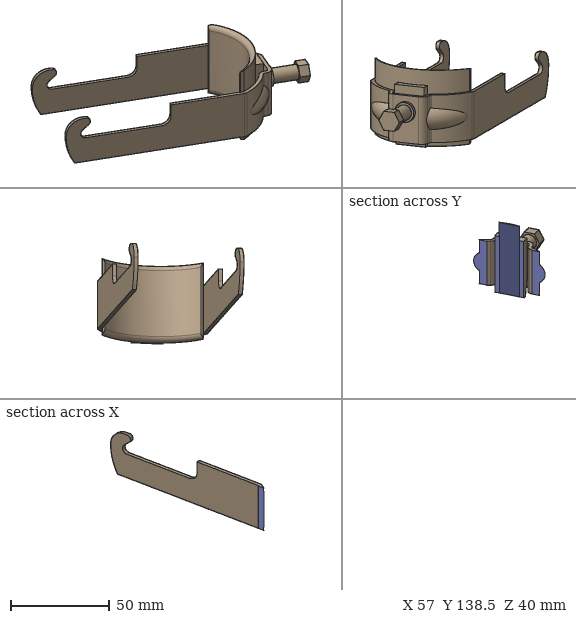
import cadquery as cq
import math


strap_width = 57.0
strap_height = 24.9
sheet = 2.1
strap_back = 117.0
mid_height = strap_height / 2
back_arc_radius = 32.4
back_arc_center = 81.0
step_half_width = 10.2
step_angle = 10
step_bend = 3.7
neck_bend = 0.8
leg_bend = 3.3

notch_start = 56.2
notch_floor = 13.7
notch_fillet = 5.0
hook_radius = 9.0
heel_radius = 29.9
nose_radius = 2.1
nose_center = 11.0
slot_end = 7.9
slot_radius = 2.6

rib_radius = 29.1
rib_back = 116.8
rib_section_radius = 7.2

collar_diameter = 10.5
collar_length = 2.1

screw_z = 16.5
screw_diameter = 8.0
head_sides = 6
head_flats = 10.0
head_length = 5.5
screw_top = 138.5

saddle_width = 52.4
saddle_height = 40.0
saddle_bottom = -3.0
saddle_radius = 32.7
saddle_inner_radius = 32.0
saddle_thickness = 3.0
saddle_back = 109.1
saddle_front = 94.2
rim_fillet = 2.8

block_width = 16.3
block_top = 29.0
block_back = 112.6
block_foot_back = 110.5
block_slope_start = 8.3


def strap_fill(inset):
    """Solid that fills the strap outline moved inward by `inset`, with rounded bends."""
    half_width = strap_width / 2 - inset
    back = strap_back - inset
    radius = back_arc_radius - inset
    tilt = math.radians(step_angle)
    flank_x = step_half_width - inset / math.cos(tilt)
    flank_top = flank_x + inset * math.tan(tilt)
    offset = flank_top + (back - back_arc_center) * math.tan(tilt)
    along = offset * math.sin(tilt) + math.sqrt(radius**2 - (offset * math.cos(tilt)) ** 2)
    neck_x = offset - along * math.sin(tilt)
    neck_y = back_arc_center + along * math.cos(tilt)
    shoulder_y = back_arc_center + math.sqrt(radius**2 - half_width**2)
    middle_angle = (math.atan2(neck_y - back_arc_center, neck_x)
                    + math.atan2(shoulder_y - back_arc_center, half_width)) / 2
    middle_x = radius * math.cos(middle_angle)
    middle_y = back_arc_center + radius * math.sin(middle_angle)
    fill = (
        cq.Workplane("XY")
        .moveTo(-half_width, 0)
        .lineTo(half_width, 0)
        .lineTo(half_width, shoulder_y)
        .threePointArc((middle_x, middle_y), (neck_x, neck_y))
        .lineTo(flank_top, back)
        .lineTo(-flank_top, back)
        .lineTo(-neck_x, neck_y)
        .threePointArc((-middle_x, middle_y), (-half_width, shoulder_y))
        .close()
        .extrude(strap_height)
    )
    bends = (
        (flank_top, back, step_bend - inset),
        (neck_x, neck_y, neck_bend + inset),
        (half_width, shoulder_y, leg_bend - inset),
    )
    for x, y, bend_radius in bends:
        for side in (-1, 1):
            edge = cq.selectors.NearestToPointSelector((side * x, y, mid_height))
            fill = fill.edges("|Z").edges(edge).fillet(bend_radius)
    return fill


def leg_blank():
    """Side outline of a leg with its notch and hook, extruded across the whole strap."""
    hook_z = strap_height - hook_radius
    heel_y = heel_radius - math.sqrt(heel_radius**2 - hook_z**2)
    heel_half = math.asin(hook_z / heel_radius) / 2
    nose_z = strap_height - nose_radius
    slot_y = slot_end + slot_radius
    slot_z = notch_floor + slot_radius
    gap_y = nose_center - slot_y
    gap_z = nose_z - slot_z
    gap = math.hypot(gap_y, gap_z)
    normal_angle = math.atan2(gap_z, gap_y) + math.acos((slot_radius + nose_radius) / gap)

    def on_circle(center_y, center_z, radius, angle):
        return (center_y + radius * math.cos(angle), center_z + radius * math.sin(angle))

    hook_middle = math.radians(45)
    slot_tangent = on_circle(slot_y, slot_z, slot_radius, normal_angle)
    nose_tangent = on_circle(nose_center, nose_z, -nose_radius, normal_angle)
    blank = (
        cq.Workplane("YZ")
        .moveTo(heel_y, 0)
        .lineTo(strap_back, 0)
        .lineTo(strap_back, strap_height)
        .lineTo(notch_start, strap_height)
        .lineTo(notch_start, notch_floor + notch_fillet)
        .radiusArc((notch_start - notch_fillet, notch_floor), notch_fillet)
        .lineTo(slot_y, notch_floor)
        .threePointArc((slot_end, slot_z), slot_tangent)
        .lineTo(*nose_tangent)
        .threePointArc((nose_center + nose_radius, nose_z), (nose_center, strap_height))
        .lineTo(hook_radius, strap_height)
        .threePointArc(on_circle(hook_radius, hook_z, -hook_radius, -hook_middle), (0, hook_z))
        .threePointArc(on_circle(heel_radius, hook_z, -heel_radius, heel_half), (heel_y, 0))
        .close()
        .extrude(strap_width / 2, both=True)
    )
    return blank


def shoulder_ribs():
    """Round ridge over both shoulders: the rear half of a ring of circular section lying at mid height."""
    center = cq.Vector(0, rib_back - rib_radius, mid_height)
    ring = cq.Solid.makeTorus(rib_radius - rib_section_radius, rib_section_radius, center, cq.Vector(0, 0, 1))
    rear = cq.Workplane("XZ", origin=(0, strap_back, mid_height)).rect(strap_width, strap_height)
    return cq.Workplane(ring).intersect(rear.extrude(rib_radius))


def y_cylinder(diameter, start, end):
    """Cylinder on the screw axis between two Y positions."""
    return cq.Workplane("XZ", origin=(0, start, screw_z)).circle(diameter / 2).extrude(start - end)


def make_strap():
    """Bent sheet strap with two hooked legs, shoulder ribs and a collar round the screw hole."""
    inside = strap_fill(sheet)
    strap = strap_fill(0).intersect(leg_blank()).union(shoulder_ribs()).cut(inside)
    strap = strap.union(y_cylinder(collar_diameter, strap_back, strap_back + collar_length))
    return strap.cut(y_cylinder(screw_diameter, block_back, screw_top))


def make_screw():
    """Hexagon head screw whose end rests on the pressure block."""
    head_corners = head_flats / math.cos(math.pi / head_sides)
    head_plane = cq.Workplane("XZ", origin=(0, screw_top, screw_z))
    head = head_plane.polygon(head_sides, head_corners).extrude(head_length)
    return head.union(y_cylinder(screw_diameter, block_back, screw_top - head_length))


def saddle_cylinder(radius, back):
    """Vertical cylinder over the saddle's height whose rearmost line lies at Y = back."""
    return cq.Workplane("XY", origin=(0, back - radius, saddle_bottom)).circle(radius).extrude(saddle_height)


def make_saddle():
    """Curved saddle with cut-off sides and rounded inner rims."""
    inner_back = saddle_back - saddle_thickness
    depth = saddle_back - saddle_front
    bounds = (
        cq.Workplane("XY", origin=(0, saddle_front + depth / 2, saddle_bottom))
        .rect(saddle_width, depth)
        .extrude(saddle_height)
    )
    hollow = saddle_cylinder(saddle_inner_radius, inner_back)
    saddle = saddle_cylinder(saddle_radius, saddle_back).intersect(bounds).cut(hollow)
    return saddle.edges("%CIRCLE").edges(cq.selectors.RadiusNthSelector(0)).fillet(rim_fillet)


def make_block():
    """Block between screw and saddle, with a sloping lower rear face."""
    side = (
        cq.Workplane("YZ")
        .moveTo(saddle_front, saddle_bottom)
        .lineTo(block_foot_back, saddle_bottom)
        .lineTo(block_back, block_slope_start)
        .lineTo(block_back, block_top)
        .lineTo(saddle_front, block_top)
        .close()
        .extrude(block_width / 2, both=True)
    )
    return side.cut(saddle_cylinder(saddle_radius, saddle_back))


strap = make_strap()
screw = make_screw()
saddle = make_saddle()
block = make_block()
result = cq.Compound.makeCompound([strap.val(), screw.val(), saddle.val(), block.val()])